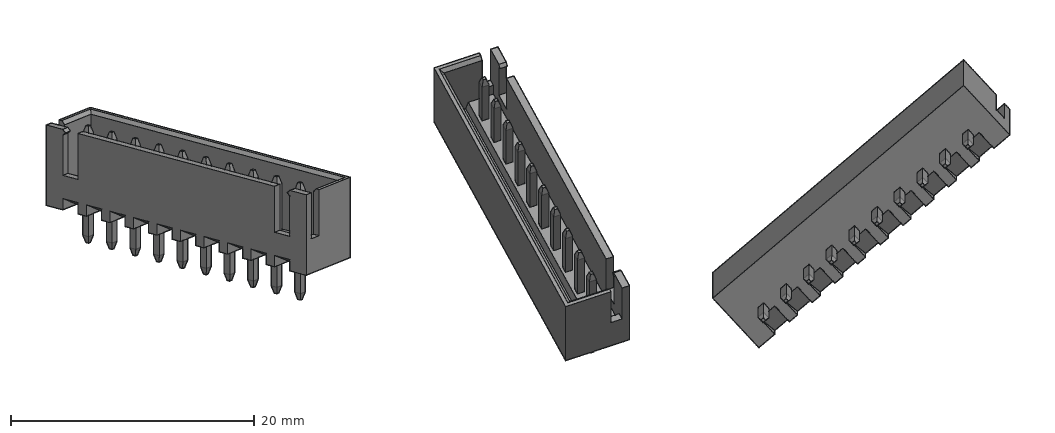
import cadquery as cq

length = 27.6
depth = 5.7
height = 7.0
front_wall = 0.65
back_wall = 0.63
end_wall = 0.6
front_y = -depth / 2
back_y = depth / 2
inner_front_y = front_y + front_wall
inner_back_y = back_y - back_wall

pin_floor_z = 1.88
back_floor_z = 1.2
pin_floor_reach = 2.9
slope_start_y = front_y + pin_floor_reach
slope_run = 0.25
rim_bevel = 0.3

slot_depth = 4.0
slot_bottom_z = height - slot_depth
slot_width = 1.6
end_slot_width = 1.0

ridge_reach = 0.28
ridge_height = 0.5

pin_count = 10
pin_row_span = 22.5
pin_pitch = pin_row_span / (pin_count - 1)
pin_width = 0.63
pin_tip_width = 0.28
pin_taper = 0.65
pin_setback = 2.32
pin_y = front_y + pin_setback
pin_recess = 0.1
pin_top_z = height - pin_recess
pin_tail = 3.28
pin_bottom_z = -pin_tail
pin_places = [i * pin_pitch - pin_row_span / 2 for i in range(pin_count)]

notch_width = slot_width
notch_height = 1.0
notch_depth = 1.82


def box(x_start, x_end, y_start, y_end, z_start, z_end):
    """Box spanning the given limits."""
    size = (x_end - x_start, y_end - y_start, z_end - z_start)
    return cq.Workplane("XY").box(*size, centered=False).translate((x_start, y_start, z_start))


def extrude_along_x(points, width, x_centre):
    """Prism of a (Y, Z) outline, centred on x_centre."""
    profile = cq.Workplane("YZ", origin=(x_centre - width / 2, 0, 0))
    return profile.polyline(points).close().extrude(width)


def make_cavity():
    """Hollow inside the walls, with its stepped floor."""
    outline = [
        (inner_front_y, height),
        (inner_front_y, pin_floor_z),
        (slope_start_y, pin_floor_z),
        (slope_start_y + slope_run, back_floor_z),
        (inner_back_y, back_floor_z),
        (inner_back_y, height),
    ]
    return extrude_along_x(outline, length - 2 * end_wall, 0)


def make_rim_bevel():
    """Lead-in along the inner edges of the end and back walls."""
    inner_x = length / 2 - end_wall
    outer_x = inner_x + rim_bevel
    lower = [
        (-inner_x, inner_front_y),
        (inner_x, inner_front_y),
        (inner_x, inner_back_y),
        (-inner_x, inner_back_y),
    ]
    upper = [
        (-outer_x, inner_front_y),
        (outer_x, inner_front_y),
        (outer_x, inner_back_y + rim_bevel),
        (-outer_x, inner_back_y + rim_bevel),
    ]
    base = cq.Workplane("XY", origin=(0, 0, height - rim_bevel)).polyline(lower).close()
    return base.workplane(offset=rim_bevel).polyline(upper).close().loft(ruled=True)


def make_end_slot():
    """Slot across both end walls, right behind the front wall."""
    end_y = inner_front_y + end_slot_width
    return box(-length / 2, length / 2, inner_front_y, end_y, slot_bottom_z, height)


def make_front_slot(x_centre):
    """Slot through the front wall."""
    half = slot_width / 2
    return box(x_centre - half, x_centre + half, front_y, inner_front_y, slot_bottom_z, height)


def make_ridge(x_centre):
    """Ridge on the outer side of a front slot, pointing to the middle of the part."""
    side = 1 if x_centre > 0 else -1
    post_x = x_centre + side * slot_width / 2
    outline = [
        (post_x, height),
        (post_x - side * ridge_reach, height - ridge_height / 2),
        (post_x, height - ridge_height),
    ]
    return cq.Workplane("XZ", origin=(0, front_y, 0)).polyline(outline).close().extrude(-front_wall)


def make_notch(x_centre):
    """Notch whose sloping roof runs down from the front face to the underside."""
    outline = [
        (front_y, 0),
        (front_y, notch_height),
        (front_y + notch_depth, 0),
    ]
    return extrude_along_x(outline, notch_width, x_centre)


def make_pin_tip(x_centre, z_start, taper):
    """Pyramid-shaped pin end; a negative taper points downwards."""
    base = cq.Workplane("XY", origin=(x_centre, pin_y, z_start)).rect(pin_width, pin_width)
    return base.workplane(offset=taper).rect(pin_tip_width, pin_tip_width).loft(ruled=True)


def make_pin(x_centre):
    """Square pin with both ends tapered."""
    half = pin_width / 2
    shaft_bottom = pin_bottom_z + pin_taper
    shaft_top = pin_top_z - pin_taper
    shaft = box(x_centre - half, x_centre + half, pin_y - half, pin_y + half, shaft_bottom, shaft_top)
    upper_tip = make_pin_tip(x_centre, shaft_top, pin_taper)
    lower_tip = make_pin_tip(x_centre, shaft_bottom, -pin_taper)
    return shaft.union(upper_tip).union(lower_tip)


result = box(-length / 2, length / 2, front_y, back_y, 0, height)
result = result.cut(make_cavity()).cut(make_rim_bevel()).cut(make_end_slot())

for slot_x in (pin_places[0], pin_places[-1]):
    result = result.cut(make_front_slot(slot_x)).union(make_ridge(slot_x))

for pin_x in pin_places:
    result = result.cut(make_notch(pin_x)).union(make_pin(pin_x))